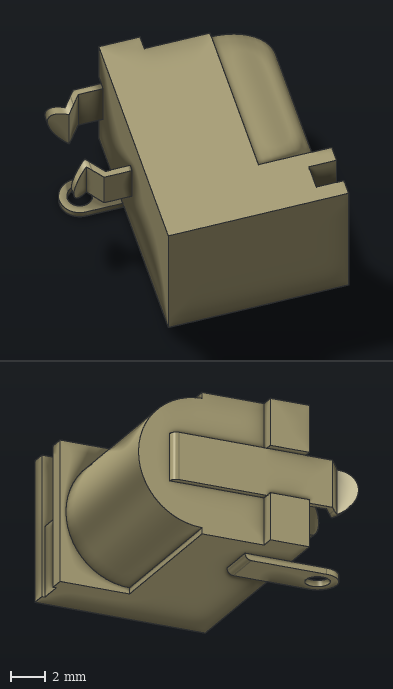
import cadquery as cq

length = 14.4
depth = 11.0
height = 8.99
mid_z = height / 2
step_x = 0.88
lug_depth = 2.52
barrel_radius = 4.1
barrel_y = 6.52
flange_x = 10.9

slot_left = 11.89
slot_width = 1.54
slot_floor_y = 9.31
insert_back_y = 10.8
insert_height = mid_z

sheet = 0.4
pin_length = 3.5
wide_contact = 3.0
narrow_contact = 2.5
contact_back_y = 8.61
outer_bend_y = -1.71
inner_bend_y = -1.51
elbow_outer = (1.03, -2.5)
elbow_inner = (1.62, -2.42)
tip_near = 0.2
tip_far = 0.72

tab_width = 2.5
tab_x = 3.7
tab_back_y = 3.02
tab_hole_diameter = 1.5


def box(x0, x1, y0, y1, z0, z1):
    """Box given by its limits on each axis."""
    return cq.Workplane("XY").box(x1 - x0, y1 - y0, z1 - z0, centered=False).translate((x0, y0, z0))


def make_housing():
    front_block = box(step_x, length, 0, barrel_y, 0, height)
    lug = box(0, step_x, 0, lug_depth, 0, height)
    flange = box(flange_x, length, 0, depth, 0, height)
    barrel = (
        cq.Workplane("YZ", origin=(step_x, barrel_y, mid_z))
        .circle(barrel_radius)
        .extrude(flange_x - step_x)
    )
    slot_right = slot_left + slot_width
    slot = box(slot_left, slot_right, slot_floor_y, depth, 0, height)
    insert = box(slot_left, slot_right, slot_floor_y, insert_back_y, 0, insert_height)
    contact_notch = box(0, step_x, 0, lug_depth, mid_z - wide_contact / 2, mid_z + wide_contact / 2)
    return front_block.union(lug).union(flange).union(barrel).cut(slot).union(insert).cut(contact_notch)


def make_contact(outer_x, inward, width, back_y):
    """Upright strip with a kinked, round-ended pin; inward is the X direction of the kink."""
    profile = [
        (0, back_y),
        (0, outer_bend_y),
        elbow_outer,
        (tip_near, -pin_length),
        (tip_far, -pin_length),
        elbow_inner,
        (sheet, inner_bend_y),
        (sheet, back_y),
    ]
    points = [(outer_x + inward * across, y) for across, y in profile]
    strip = cq.Workplane("XY", origin=(0, 0, mid_z - width / 2)).polyline(points).close().extrude(width)
    end_y = width / 2 - pin_length
    rounded_outline = (
        cq.Workplane("YZ", origin=(0, 0, mid_z))
        .moveTo(back_y, width / 2)
        .lineTo(end_y, width / 2)
        .threePointArc((-pin_length, 0), (end_y, -width / 2))
        .lineTo(back_y, -width / 2)
        .close()
        .extrude(length)
    )
    return strip.intersect(rounded_outline)


def make_left_contact():
    outer_x = step_x - sheet
    contact = make_contact(outer_x, 1, wide_contact, contact_back_y)
    bend_y = contact_back_y - sheet
    corner = box(outer_x, step_x, bend_y, contact_back_y, 0, height)
    bend = cq.Workplane("XY").center(step_x, bend_y).circle(sheet).extrude(height)
    return contact.cut(corner.cut(bend))


def make_right_contact():
    outer_x = 2 * tab_x - (step_x - sheet)
    return make_contact(outer_x, -1, narrow_contact, lug_depth)


def make_tab():
    end_radius = tab_width / 2
    end_y = end_radius - pin_length
    left = tab_x - end_radius
    right = tab_x + end_radius
    tab = (
        cq.Workplane("XY", origin=(0, 0, -sheet))
        .moveTo(left, tab_back_y)
        .lineTo(left, end_y)
        .threePointArc((tab_x, -pin_length), (right, end_y))
        .lineTo(right, tab_back_y)
        .close()
        .moveTo(tab_x, end_y)
        .circle(tab_hole_diameter / 2)
        .extrude(sheet)
    )
    bend_y = tab_back_y - sheet
    corner = box(left, right, bend_y, tab_back_y, -sheet, 0)
    bend = cq.Workplane("YZ", origin=(left, bend_y, 0)).circle(sheet).extrude(tab_width)
    return tab.cut(corner.cut(bend))


result = make_housing().union(make_left_contact()).union(make_right_contact()).union(make_tab())